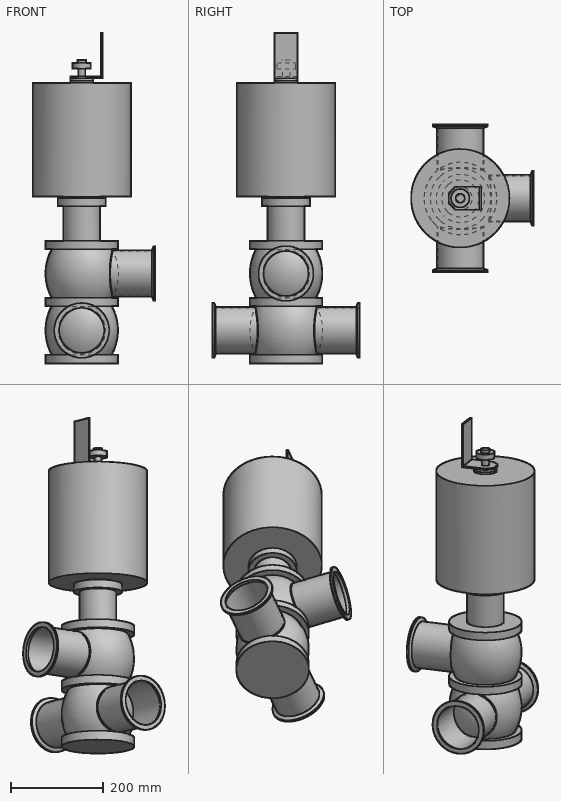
import cadquery as cq

flange_diameter = 158.0
base_flange_height = 19.5
flange_height = 18.0
chamber_height = 105.5
chamber_diameter = 158.0
chamber_end_diameter = 130.5

lower_chamber_bottom = base_flange_height
middle_flange_bottom = lower_chamber_bottom + chamber_height
upper_chamber_bottom = middle_flange_bottom + flange_height
top_flange_bottom = upper_chamber_bottom + chamber_height
neck_bottom = top_flange_bottom + flange_height

pipe_reach = 160.0
pipe_diameter = 102.0
pipe_bore = 97.5
ferrule_diameter = 119.0
ferrule_rim_thickness = 4.0
ferrule_taper_length = 3.5

neck_diameter = 80.0
collar_diameter = 105.0
collar_bottom = 341.5
collar_height = 17.0
actuator_diameter = 214.0
actuator_bottom = 362.0
actuator_height = 247.0
actuator_top = actuator_bottom + actuator_height

seat_diameter = 50.0
seat_height = 4.0
indicator_bottom = actuator_top + seat_height
washer_height = 6.0
bracket_bottom = indicator_bottom + washer_height
bracket_top = 717.5
bracket_thickness = 3.5
bracket_width = seat_diameter
bracket_right = 45.0
bracket_corner_chamfer = 14.0
stem_diameter = 16.0
knob_diameter = 40.0
knob_bottom = 640.0
knob_height = 12.0
cap_diameter = 19.5
cap_height = 6.5


def disc(diameter, bottom, height):
    """Vertical cylinder on the valve axis."""
    return cq.Workplane("XY").workplane(offset=bottom).circle(diameter / 2).extrude(height)


def make_chamber(bottom):
    """Solid barrel with an arc-shaped wall."""
    end_radius = chamber_end_diameter / 2
    return (
        cq.Workplane("XZ")
        .moveTo(0, bottom)
        .lineTo(end_radius, bottom)
        .threePointArc(
            (chamber_diameter / 2, bottom + chamber_height / 2),
            (end_radius, bottom + chamber_height),
        )
        .lineTo(0, bottom + chamber_height)
        .close()
        .revolve(360, (0, 0, 0), (0, 1, 0))
    )


def make_branch(angle, height):
    """Pipe from the valve axis to its ferrule, turned about Z by angle from +X."""
    rim_start = pipe_reach - ferrule_rim_thickness
    taper_start = rim_start - ferrule_taper_length
    return (
        cq.Workplane("XZ")
        .moveTo(0, pipe_bore / 2)
        .lineTo(0, pipe_diameter / 2)
        .lineTo(taper_start, pipe_diameter / 2)
        .lineTo(rim_start, ferrule_diameter / 2)
        .lineTo(pipe_reach, ferrule_diameter / 2)
        .lineTo(pipe_reach, pipe_bore / 2)
        .close()
        .revolve(360, (0, 0, 0), (1, 0, 0))
        .rotate((0, 0, 0), (0, 0, 1), angle)
        .translate((0, 0, height))
    )


def make_valve():
    """Housing, neck and actuator; each bore ends at the wall of its chamber."""
    valve = disc(flange_diameter, 0, base_flange_height)
    for bottom in (middle_flange_bottom, top_flange_bottom):
        valve = valve.union(disc(flange_diameter, bottom, flange_height))

    for bottom, angles in ((lower_chamber_bottom, (-90, 90)), (upper_chamber_bottom, (0,))):
        valve = valve.union(make_chamber(bottom))
        for angle in angles:
            valve = valve.union(make_branch(angle, bottom + chamber_height / 2))

    valve = valve.union(disc(neck_diameter, neck_bottom, actuator_bottom - neck_bottom))
    valve = valve.union(disc(collar_diameter, collar_bottom, collar_height))
    valve = valve.union(disc(actuator_diameter, actuator_bottom, actuator_height))
    return valve.union(disc(seat_diameter, actuator_top, seat_height))


def make_bracket():
    """L-shaped plate with two chamfered corners at the free end of its horizontal leg."""
    left = -bracket_width / 2
    plate = (
        cq.Workplane("XY")
        .workplane(offset=bracket_bottom)
        .center((left + bracket_right) / 2, 0)
        .rect(bracket_right - left, bracket_width)
        .extrude(bracket_thickness)
        .edges("|Z and <X")
        .chamfer(bracket_corner_chamfer)
    )
    upright = (
        cq.Workplane("XY")
        .workplane(offset=bracket_bottom)
        .center(bracket_right - bracket_thickness / 2, 0)
        .rect(bracket_thickness, bracket_width)
        .extrude(bracket_top - bracket_bottom)
    )
    return plate.union(upright)


def make_indicator():
    """Washer, bracket, stem and capped knob."""
    knob_top = knob_bottom + knob_height
    indicator = disc(seat_diameter, indicator_bottom, washer_height)
    indicator = indicator.union(make_bracket())
    indicator = indicator.union(disc(stem_diameter, bracket_bottom, knob_bottom - bracket_bottom))
    indicator = indicator.union(disc(knob_diameter, knob_bottom, knob_height))
    return indicator.union(disc(cap_diameter, knob_top, cap_height))


valve = make_valve()
indicator = make_indicator()
result = cq.Compound.makeCompound([valve.val(), indicator.val()])